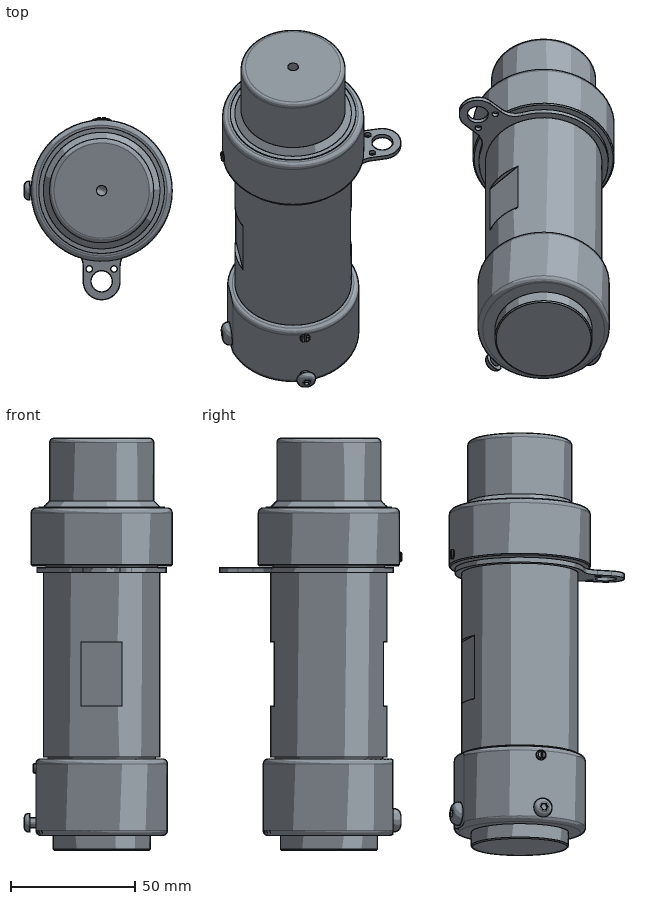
import cadquery as cq
import math

total_height = 166.2
foot_top = 6.0
base_top = 36.9
body_bottom = 37.5
body_top = 112.0
flange_top = 114.0
head_bottom = 114.7
head_top = 138.2
plate_top = 138.5
cap_bottom = 141.0

foot_radius = 39.2 / 2
base_radius = 53.0 / 2
lower_neck_radius = 43.5 / 2
body_radius = 47.0 / 2
flange_radius = 52.2 / 2
upper_neck_radius = 45.0 / 2
head_radius = 57.0 / 2
plate_radius = 50.7 / 2
cap_radius = 42.0 / 2

foot_chamfer = 0.5
base_fillet = 2.0
head_top_fillet = 2.2
head_bottom_chamfer = 0.5
cap_fillet = 1.8

centre_hole_diameter = 4.2
centre_hole_depth = 5.0
drill_point_angle = 118.0

body_flat_width = 16.5
body_flat_bottom = 58.2
body_flat_top = 84.1
base_flat_offset = 25.8

lug_centre_y = -36.5
lug_radius = 7.5
lug_hole_diameter = 8.5
lug_root_fillet = 8.3
small_hole_diameter = 2.5
small_hole_x = 5.0
small_hole_y = -31.6

side_screw_z = 11.1
side_screw_tip = 31.3
side_screw_head_diameter = 7.6
side_screw_head_height = 2.3
back_screw_z = 12.1
back_screw_tip = 29.1
back_screw_head_diameter = 9.5
back_screw_head_height = back_screw_tip - base_flat_offset
shank_diameter = 4.2
head_rim_height = 0.3
crown_diameter = 4.0
socket_diameter = 3.0
socket_depth = 1.3

pin_diameter = 4.0
pin_chamfer = 0.5
pin_slot_width = 0.8
pin_slot_depth = 0.8
base_pin_z = 33.1
base_pin_tip = 27.8
head_pin_z = 118.4
head_pin_tip = 29.5

embed_radius = 20.0


def cylinder(radius, bottom, top):
    return cq.Workplane("XY").workplane(offset=bottom).circle(radius).extrude(top - bottom)


def make_foot():
    return cylinder(foot_radius, 0, foot_top).faces("<Z").chamfer(foot_chamfer)


def make_base():
    """Lower collar with rounded rims and a seat for the back screw."""
    base = cylinder(base_radius, foot_top, base_top).edges().fillet(base_fillet)
    beyond_flat = cq.Workplane("XY").box(
        2 * base_radius, base_radius, base_top, centered=(True, False, False)
    )
    return base.cut(beyond_flat.translate((0, base_flat_offset, 0)))


def make_body():
    """Main tube with a flat on its -Y and +Y sides."""
    body = cylinder(body_radius, body_bottom, body_top)
    flat_offset = math.sqrt(body_radius**2 - (body_flat_width / 2) ** 2)
    flat_height = body_flat_top - body_flat_bottom
    for side in (-1, 1):
        cutter = cq.Workplane("XY").box(2 * body_radius, body_radius, flat_height)
        cutter_y = side * (flat_offset + body_radius / 2)
        body = body.cut(cutter.translate((0, cutter_y, body_flat_bottom + flat_height / 2)))
    return body


def make_flange():
    """Thin flange with a rounded lug that carries one large and two small holes."""
    thickness = flange_top - body_top
    lug = (
        cq.Workplane("XY", origin=(0, 0, body_top))
        .moveTo(-lug_radius, 0)
        .lineTo(-lug_radius, lug_centre_y)
        .threePointArc((0, lug_centre_y - lug_radius), (lug_radius, lug_centre_y))
        .lineTo(lug_radius, 0)
        .close()
        .extrude(thickness)
    )
    flange = cylinder(flange_radius, body_top, flange_top).union(lug)
    root_y = -math.sqrt(flange_radius**2 - lug_radius**2)
    for side in (-1, 1):
        root_edge = cq.selectors.NearestToPointSelector(
            (side * lug_radius, root_y, body_top + thickness / 2)
        )
        flange = flange.edges("|Z").edges(root_edge).fillet(lug_root_fillet)
    holes = (
        cq.Workplane("XY", origin=(0, 0, body_top))
        .center(0, lug_centre_y)
        .circle(lug_hole_diameter / 2)
        .center(0, -lug_centre_y)
        .pushPoints([(-small_hole_x, small_hole_y), (small_hole_x, small_hole_y)])
        .circle(small_hole_diameter / 2)
        .extrude(thickness)
    )
    return flange.cut(holes)


def make_head():
    """Upper collar, the thin plate on top of it and the 45-degree cone below the cap."""
    head = cylinder(head_radius, head_bottom, head_top)
    head = head.faces(">Z").edges().fillet(head_top_fillet)
    head = head.faces("<Z").edges().chamfer(head_bottom_chamfer)
    plate = cylinder(plate_radius, head_top, plate_top)
    cone_height = cap_bottom - plate_top
    cone = (
        cq.Workplane("XY", origin=(0, 0, plate_top))
        .circle(cap_radius + cone_height)
        .workplane(offset=cone_height)
        .circle(cap_radius)
        .loft()
    )
    return head.union(plate).union(cone)


def make_cap():
    return cylinder(cap_radius, cap_bottom, total_height).faces(">Z").edges().fillet(cap_fillet)


def make_centre_hole():
    """Drilled hole with a conical end."""
    radius = centre_hole_diameter / 2
    point_length = radius / math.tan(math.radians(drill_point_angle / 2))
    wall_end = total_height - centre_hole_depth
    return (
        cq.Workplane("XZ")
        .moveTo(0, total_height)
        .lineTo(radius, total_height)
        .lineTo(radius, wall_end)
        .lineTo(0, wall_end - point_length)
        .close()
        .revolve(360, (0, 0, 0), (0, 1, 0))
    )


def make_button_screw(head_diameter, head_height, tip):
    """Domed socket screw along +Z, from inside the part to its tip."""
    rim_radius = head_diameter / 2
    crown_radius = crown_diameter / 2
    head_start = tip - head_height
    rim_top = head_start + head_rim_height
    diagonal = math.sqrt(0.5)
    dome_middle = (
        crown_radius + (rim_radius - crown_radius) * diagonal,
        rim_top + (tip - rim_top) * diagonal,
    )
    shank = cylinder(shank_diameter / 2, embed_radius, head_start)
    head = (
        cq.Workplane("XZ")
        .moveTo(0, head_start)
        .lineTo(rim_radius, head_start)
        .lineTo(rim_radius, rim_top)
        .threePointArc(dome_middle, (crown_radius, tip))
        .lineTo(0, tip)
        .close()
        .revolve(360, (0, 0, 0), (0, 1, 0))
    )
    socket = (
        cq.Workplane("XY", origin=(0, 0, tip - socket_depth))
        .polygon(6, socket_diameter)
        .extrude(socket_depth)
    )
    return shank.union(head).cut(socket)


def make_slotted_pin(tip):
    """Slotted set screw along +Z, with a chamfered end."""
    pin = cylinder(pin_diameter / 2, embed_radius, tip).faces(">Z").chamfer(pin_chamfer)
    slot = cq.Workplane("XY").box(pin_slot_width, pin_diameter, 2 * pin_slot_depth)
    return pin.cut(slot.translate((0, 0, tip)))


def to_minus_x(screw, height):
    """Turn a +Z screw to point along -X with its slot upright, at the given height."""
    turned = screw.rotate((0, 0, 0), (0, 0, 1), 90).rotate((0, 0, 0), (0, 1, 0), -90)
    return turned.translate((0, 0, height))


def to_plus_y(screw, height):
    """Turn a +Z screw to point along +Y at the given height."""
    return screw.rotate((0, 0, 0), (1, 0, 0), -90).translate((0, 0, height))


result = (
    make_foot()
    .union(make_base())
    .union(cylinder(lower_neck_radius, base_top, body_bottom))
    .union(make_body())
    .union(make_flange())
    .union(cylinder(upper_neck_radius, flange_top, head_bottom))
    .union(make_head())
    .union(make_cap())
    .cut(make_centre_hole())
)

side_screw = make_button_screw(side_screw_head_diameter, side_screw_head_height, side_screw_tip)
back_screw = make_button_screw(back_screw_head_diameter, back_screw_head_height, back_screw_tip)
result = (
    result.union(to_minus_x(side_screw, side_screw_z))
    .union(to_minus_x(make_slotted_pin(base_pin_tip), base_pin_z))
    .union(to_plus_y(back_screw, back_screw_z))
    .union(to_plus_y(make_slotted_pin(head_pin_tip), head_pin_z))
)